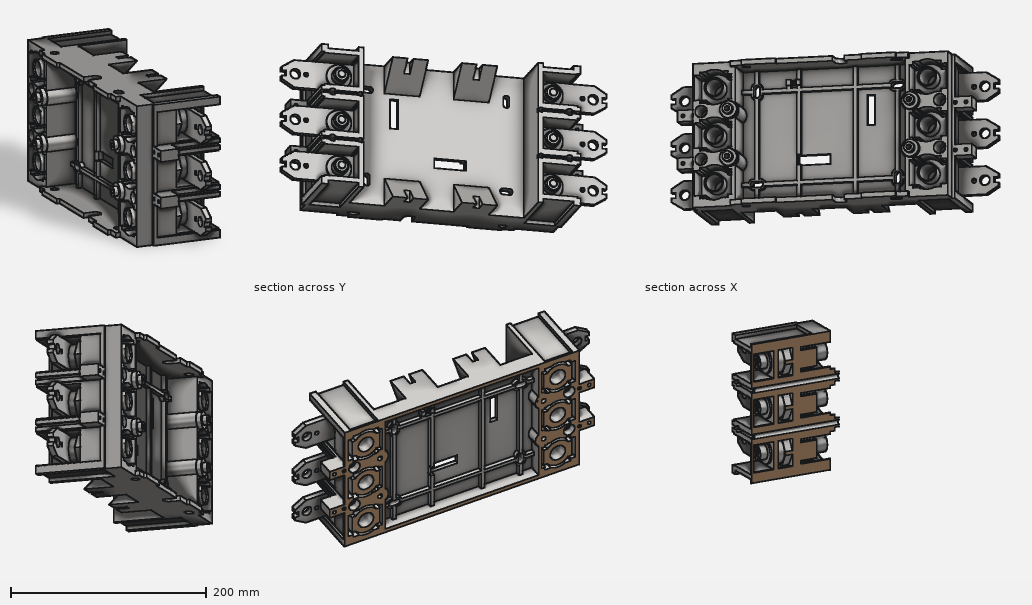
import cadquery as cq
import math


height = 150.0
half_height = height / 2
wall = 5.2
half_length = 137.5
skirt_half_length = 134.5
skirt_depth = 17.5
back_y = 92.0
plate_back = 37.5
plate_thickness = 5.0
plate_front = plate_back - plate_thickness
cavity_half_length = 89.7
block_inner_x = 92.8

lip_half_length = 94.0
lip_height = 5.2
tab_inner_x = 45.2
tab_outer_x = 81.5
tab_height = 8.3
notch_x = 20.5
notch_radius = 6.2
notch_center_y = 5.2
wall_hole_x = 79.5
wall_hole_y = 5.0
wall_hole_diameter = 8.3
wall_slot_length = 12.0
wall_slot_width = 8.3

rib_width = 4.0
rib_height = 5.0
outer_rib_x = 74.2
inner_rib_x = 29.5
rib_z = 48.3
mount_slot_length = 13.0
mount_slot_width = 6.5
mount_rim = 2.5
wide_window_length = 33.8
wide_window_height = 10.5
wide_window_x = -14.5
wide_window_z = -24.5
tall_window_length = 8.3
tall_window_height = 31.5
tall_window_x = 45.2
tall_window_z = 24.5

clip_x = -35.2
clip_z = 56.0
clip_length = 15.2
clip_end = 5.0
clip_end_height = 6.0
clip_bar_height = 4.5
clip_opening = 2.8
clip_leg_width = 4.5
clip_end_rise = 1.5

tower_inner_x = 18.0
tower_outer_x = 55.5
tower_back = 69.7
tower_drop = 29.3
tower_slot_width = 6.2
tower_slot_floor = 56.2

cover_inner_x = 98.0
cover_outer_x = 130.5
cover_front = 20.7
cover_depth = 4.0

pole_x = 112.5
pocket_pitch = 49.7
pocket_floor = 34.5
pocket_radius = 18.3
pocket_length = 40.7
pocket_height = 26.2
pocket_tall_length = 29.5
pocket_tall_height = 32.5
seat_front = 16.0
seat_radius = 16.0
seat_length = 33.0
seat_height = 20.0
tube_radius = 10.0
tube_mouth_radius = 9.5
tube_bore_radius = 8.5
countersink_depth = 1.7
tube_bore_floor = 39.7

pole_pitch = 49.0
chamber_front = 44.5
chamber_height = 33.5
chamber_inner_x = 98.0
end_recess_front = 21.7
end_recess_top = 67.0
terminal_niche_depth = 1.7
terminal_niche_back = 89.5

divider_z = pocket_pitch / 2
divider_height = 11.7
divider_slot_height = 3.0
divider_slot_floor = 87.3
divider_groove_depth = 3.5

terminal_front = 60.5
terminal_thickness = 6.2
terminal_back = terminal_front + terminal_thickness
terminal_height = 29.3
terminal_tip_x = 172.5
terminal_taper_x = 159.7
terminal_tip_height = 13.5
tip_slot_height = 5.5
tip_slot_floor_x = 168.0
terminal_hole_x = 158.5
terminal_hole_diameter = 10.5
small_hole_x = 147.0
small_hole_diameter = 4.5

nut_across_flats = 30.5
nut_back = 52.8
collar_radius = 14.5
washer_radius = 13.0
washer_thickness = 2.0
bolt_head_radius = 8.0
bolt_head_chamfer = 1.5
bolt_head_back = 78.3
bolt_tip_radius = 3.8
bolt_tip_back = 80.0

lug_outer_x = 155.2
lug_hole_x = 149.5
lug_blind_hole_x = 138.0
lug_hole_diameter = 3.5
lug_blind_hole_depth = 3.5

column_x = 96.0
column_radius = 10.0
column_pad_radius = 9.0
column_boss_radius = 5.2
column_boss_front = -10.0
column_bore_radius = 2.5
counterbore_x = 126.0
counterbore_radius = 6.2
counterbore_depth = 27.5
through_radius = 3.5

pole_levels = [-pole_pitch, 0, pole_pitch]
pocket_levels = [-pocket_pitch, 0, pocket_pitch]
divider_levels = [-divider_z, divider_z]


def box(x0, x1, y0, y1, z0, z1):
    """Box between two opposite corners."""
    return cq.Workplane("XY").box(x1 - x0, y1 - y0, z1 - z0, centered=False).translate((x0, y0, z0))


def bar(x0, x1, y0, y1, z, size_z):
    """Box centred on the level z."""
    return box(x0, x1, y0, y1, z - size_z / 2, z + size_z / 2)


def block(x, z, size_x, size_z, y0, y1):
    """Box centred on (x, z), running from y0 to y1."""
    return bar(x - size_x / 2, x + size_x / 2, y0, y1, z, size_z)


def facing(y):
    """Workplane looking along +Y, with local x = X and local y = -Z."""
    return cq.Workplane(cq.Plane(origin=(0, y, 0), xDir=(1, 0, 0), normal=(0, 1, 0)))


def rod(x, z, radius, y0, y1):
    """Cylinder along Y from y0 to y1."""
    return facing(y0).center(x, -z).circle(radius).extrude(y1 - y0)


def slot(x, z, length, width, angle, y0, y1):
    """Obround prism along Y from y0 to y1."""
    return facing(y0).center(x, -z).slot2D(length, width, angle).extrude(y1 - y0)


def mirrored_x(shape):
    return shape.union(shape.mirror("YZ"))


def make_middle():
    """Trough between the end blocks: top and bottom walls with their lips, and the plate."""
    body = box(-lip_half_length, lip_half_length, -lip_height, plate_back, -half_height, half_height)
    tab = box(tab_inner_x, tab_outer_x, -tab_height, 0, -half_height, half_height)
    body = body.union(mirrored_x(tab))
    inner_height = height - 2 * wall
    body = body.cut(block(0, 0, 2 * cavity_half_length, inner_height, -tab_height, plate_front))
    return body.cut(block(0, 0, 2 * lip_half_length, inner_height, -tab_height, 0))


def make_wall_openings():
    """Notch, round hole and oblong hole passing through both long walls."""
    cutter = cq.Workplane("XY").workplane(offset=-half_height)
    notch = cutter.center(notch_x, notch_center_y).circle(notch_radius).extrude(height)
    mouth = block(notch_x, 0, 2 * notch_radius, height, -tab_height, notch_center_y)
    hole = cutter.center(-wall_hole_x, wall_hole_y).circle(wall_hole_diameter / 2).extrude(height)
    oblong = cutter.center(wall_hole_x, wall_hole_y).slot2D(wall_slot_length, wall_slot_width).extrude(height)
    return notch.union(mouth).union(hole).union(oblong)


def make_ribs():
    """Rib grid on the front of the plate."""
    front = plate_front - rib_height
    ribs = None
    for x in (-outer_rib_x, -inner_rib_x, inner_rib_x, outer_rib_x):
        rib = block(x, 0, rib_width, height - 2 * wall, front, plate_front)
        ribs = rib if ribs is None else ribs.union(rib)
    for z in (-rib_z, rib_z):
        ribs = ribs.union(block(0, z, 2 * cavity_half_length, rib_width, front, plate_front))
    return ribs


def add_mounting_slots(body):
    """Rimmed slots at the outer rib crossings, turned crosswise from corner to corner."""
    for sx in (-1, 1):
        for sz in (-1, 1):
            angle = 0 if sx == sz else 90
            x = sx * outer_rib_x
            z = sz * rib_z
            rim_length = mount_slot_length + 2 * mount_rim
            rim_width = mount_slot_width + 2 * mount_rim
            body = body.union(slot(x, z, rim_length, rim_width, angle, plate_front - rib_height, plate_front))
            body = body.cut(slot(x, z, mount_slot_length, mount_slot_width, angle, 0, plate_back))
    return body


def make_windows():
    wide = block(wide_window_x, wide_window_z, wide_window_length, wide_window_height, 0, plate_back)
    tall = block(tall_window_x, tall_window_z, tall_window_length, tall_window_height, 0, plate_back)
    return wide.union(tall)


def make_clip():
    """Two square ends joined by a pierced bar, with a leg down to the upper rib."""
    front = plate_front - rib_height
    clip = block(clip_x, clip_z, clip_length, clip_bar_height, front, plate_front)
    end_offset = (clip_length - clip_end) / 2
    for side in (-1, 1):
        end_x = clip_x + side * end_offset
        clip = clip.union(block(end_x, clip_z, clip_end, clip_end_height, front - clip_end_rise, plate_front))
    leg_x = clip_x - end_offset
    leg = box(leg_x - clip_leg_width / 2, leg_x + clip_leg_width / 2, front, plate_front, rib_z, clip_z)
    return clip.union(leg).cut(block(clip_x, clip_z, clip_opening, clip_opening, front, plate_front))


def make_towers():
    """Slotted wedges on the back, under the top wall and over the bottom wall."""
    wedge = (
        cq.Workplane("YZ")
        .workplane(offset=tower_inner_x)
        .moveTo(plate_back, half_height)
        .lineTo(tower_back, half_height)
        .lineTo(plate_back, half_height - tower_drop)
        .lineTo(plate_front, half_height - tower_drop)
        .lineTo(plate_front, half_height)
        .close()
        .extrude(tower_outer_x - tower_inner_x)
    )
    slot_x = (tower_inner_x + tower_outer_x) / 2
    wedge = wedge.cut(block(slot_x, 0, tower_slot_width, height, tower_slot_floor, tower_back))
    return mirrored_x(wedge.union(wedge.mirror("XY")))


def make_end_block():
    """Right-hand end block with its cover recesses, stepped end face and terminal chambers."""
    body = box(cavity_half_length, skirt_half_length, 0, plate_back, -half_height, half_height)
    body = body.union(box(block_inner_x, half_length, skirt_depth, back_y, -half_height, half_height))

    cover = box(cover_inner_x, cover_outer_x, cover_front, back_y, half_height - cover_depth, half_height)
    body = body.cut(cover).cut(cover.mirror("XY"))

    end_recess = bar(skirt_half_length, half_length, end_recess_front, back_y, 0, 2 * end_recess_top)
    for z in divider_levels:
        divider = bar(skirt_half_length, half_length, skirt_depth, back_y, z, divider_height)
        end_recess = end_recess.cut(divider)
    body = body.cut(end_recess)

    niche_x = chamber_inner_x - terminal_niche_depth
    for z in pole_levels:
        body = body.cut(bar(chamber_inner_x, half_length, chamber_front, back_y, z, chamber_height))
        niche = bar(niche_x, chamber_inner_x, chamber_front, terminal_niche_back, z, terminal_height)
        body = body.cut(niche)

    groove_x = half_length - divider_groove_depth
    for z in divider_levels:
        body = body.cut(bar(block_inner_x, half_length, divider_slot_floor, back_y, z, divider_slot_height))
        body = body.cut(bar(groove_x, half_length, plate_back, back_y, z, divider_slot_height))
    return body


def cut_pole_pocket(body, z):
    """Stepped pocket around a seat that carries a countersunk tube."""
    pocket = rod(pole_x, z, pocket_radius, 0, pocket_floor)
    pocket = pocket.union(block(pole_x, z, pocket_length, pocket_height, 0, pocket_floor))
    pocket = pocket.union(block(pole_x, z, pocket_tall_length, pocket_tall_height, 0, pocket_floor))

    seat = rod(pole_x, z, seat_radius, seat_front, pocket_floor)
    seat = seat.union(block(pole_x, z, seat_length, seat_height, seat_front, pocket_floor))
    tube = rod(pole_x, z, tube_radius, 0, pocket_floor)
    body = body.cut(pocket.cut(seat).cut(tube))

    bore = rod(pole_x, z, tube_bore_radius, 0, tube_bore_floor)
    countersink = (
        bore.faces("<Y").workplane(origin=(pole_x, 0, z))
        .circle(tube_mouth_radius)
        .workplane(offset=-countersink_depth)
        .circle(tube_bore_radius)
        .loft(combine=False)
    )
    return body.cut(bore).cut(countersink)


def make_terminal(z):
    """Tapered blade with a slotted tip and two holes."""
    outline = [
        (chamber_inner_x - terminal_niche_depth, terminal_height / 2),
        (terminal_taper_x, terminal_height / 2),
        (terminal_tip_x, terminal_tip_height / 2),
        (terminal_tip_x, tip_slot_height / 2),
        (tip_slot_floor_x, tip_slot_height / 2),
    ]
    lower = [(x, -half) for x, half in reversed(outline)]
    blade = facing(terminal_front).polyline(outline + lower).close().extrude(terminal_thickness)
    for x, diameter in ((terminal_hole_x, terminal_hole_diameter), (small_hole_x, small_hole_diameter)):
        blade = blade.cut(rod(x, 0, diameter / 2, terminal_front, terminal_back))
    return blade.translate((0, 0, z))


def make_hardware(z):
    """Hexagon nut, collar, washer and bolt head that clamp a terminal."""
    corner_diameter = nut_across_flats / math.cos(math.pi / 6)
    nut = facing(chamber_front).center(pole_x, -z).polygon(6, corner_diameter)
    stack = nut.extrude(nut_back - chamber_front)
    stack = stack.union(rod(pole_x, z, collar_radius, nut_back, terminal_front))
    washer_back = terminal_back + washer_thickness
    stack = stack.union(rod(pole_x, z, washer_radius, terminal_back, washer_back))
    head = rod(pole_x, z, bolt_head_radius, washer_back, bolt_head_back)
    stack = stack.union(head.faces(">Y").chamfer(bolt_head_chamfer))
    return stack.union(rod(pole_x, z, bolt_tip_radius, bolt_head_back, bolt_tip_back))


def make_lug(z):
    lug = bar(skirt_half_length, lug_outer_x, skirt_depth, plate_back, z, divider_height)
    return lug.cut(rod(lug_hole_x, z, lug_hole_diameter / 2, skirt_depth, plate_back))


def make_end():
    """Complete right-hand end."""
    body = make_end_block()
    for z in pocket_levels:
        body = cut_pole_pocket(body, z)
    for z in pole_levels:
        body = body.union(make_terminal(z)).union(make_hardware(z))
    for z in divider_levels:
        body = body.union(make_lug(z))
        blind_back = skirt_depth + lug_blind_hole_depth
        body = body.cut(rod(lug_blind_hole_x, z, lug_hole_diameter / 2, skirt_depth, blind_back))
        body = body.union(rod(column_x, z, column_radius, 0, plate_back))
        body = body.union(rod(column_x, z, column_pad_radius, -lip_height, 0))
        body = body.union(rod(column_x, z, column_boss_radius, column_boss_front, 0))
        body = body.cut(rod(column_x, z, column_bore_radius, column_boss_front, back_y))
        body = body.cut(rod(counterbore_x, z, counterbore_radius, 0, counterbore_depth))
        body = body.cut(rod(counterbore_x, z, through_radius, 0, back_y))
    return body


middle = make_middle().union(make_ribs()).union(make_clip()).union(make_towers())
middle = add_mounting_slots(middle).cut(make_windows()).cut(make_wall_openings())

right_end = make_end()
result = middle.union(right_end).union(right_end.mirror("YZ"))